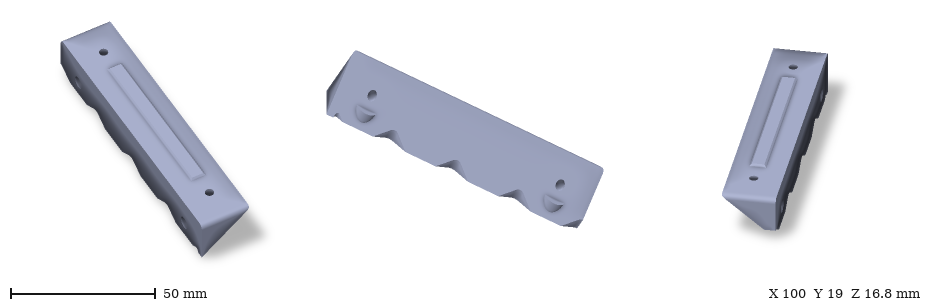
import cadquery as cq
import math

length = 100.0
depth = 19.0
body_height = 16.0
back_lip = 0.8
end_radius = 2.0

groove_pitch = 25.0
groove_width = 13.0
groove_angle = math.radians(30)
groove_radius = 3.0
groove_centers = [i * groove_pitch for i in range(4)]

end_groove_start = length - groove_width / 2
end_groove_width = 3.7
end_groove_radius = 1.0

fastener_offset = groove_pitch / 2
fastener_xs = [fastener_offset, length - fastener_offset]
socket_diameter = 4.7
socket_z = 5.7
socket_depth = 5.0
boss_diameter = 8.0
boss_length = 6.0
screw_hole_diameter = 3.2
screw_hole_y = 10.0

bar_length = 60.0
bar_width = 6.0
bar_height = 0.8
bar_y = 10.0


def make_wedge():
    """Sloped section along X, with its top edges rounded at both ends."""
    section = [
        (0, 0),
        (depth, body_height - back_lip),
        (depth, body_height),
        (0, body_height),
    ]
    wedge = cq.Workplane("YZ").polyline(section).close().extrude(length)
    envelope = (
        cq.Workplane("XY")
        .box(length, depth, body_height, centered=False)
        .edges("|Y and >Z")
        .fillet(end_radius)
    )
    return wedge.intersect(envelope)


def make_boss(x):
    """Round boss behind the front face, around a socket."""
    return (
        cq.Workplane("XZ")
        .center(x, socket_z)
        .circle(boss_diameter / 2)
        .extrude(-boss_length)
    )


def make_bar():
    """Raised bar whose sides lean in by its own height."""
    return (
        cq.Workplane("XY", origin=(length / 2, bar_y, body_height))
        .rect(bar_length, bar_width)
        .extrude(bar_height, taper=45)
    )


def make_groove(start_x, apex_x, apex_z, end_x, radius):
    """Triangular cutter through the full depth, rounded at its apex."""
    cutter = (
        cq.Workplane("XZ")
        .polyline([(start_x, 0), (apex_x, apex_z), (end_x, 0)])
        .close()
        .extrude(-depth)
    )
    apex_edge = cq.selectors.NearestToPointSelector((apex_x, depth / 2, apex_z))
    return cutter.edges(apex_edge).fillet(radius)


def make_main_groove(center_x):
    """One symmetric groove of the corrugation."""
    half_width = groove_width / 2
    apex_z = half_width * math.tan(groove_angle)
    return make_groove(center_x - half_width, center_x, apex_z, center_x + half_width, groove_radius)


def make_end_groove():
    """Small groove with one sloping flank and one vertical flank."""
    end_x = end_groove_start + end_groove_width
    apex_z = end_groove_width * math.tan(groove_angle)
    return make_groove(end_groove_start, end_x, apex_z, end_x, end_groove_radius)


def make_socket(x):
    """Blind hole from the front face."""
    return (
        cq.Workplane("XZ")
        .center(x, socket_z)
        .circle(socket_diameter / 2)
        .extrude(-socket_depth)
    )


def make_screw_hole(x):
    """Vertical through hole."""
    return (
        cq.Workplane("XY")
        .center(x, screw_hole_y)
        .circle(screw_hole_diameter / 2)
        .extrude(body_height)
    )


result = make_wedge().union(make_bar())

for fastener_x in fastener_xs:
    result = result.union(make_boss(fastener_x))

for groove_center in groove_centers:
    result = result.cut(make_main_groove(groove_center))
result = result.cut(make_end_groove())

for fastener_x in fastener_xs:
    result = result.cut(make_socket(fastener_x))
    result = result.cut(make_screw_hole(fastener_x))